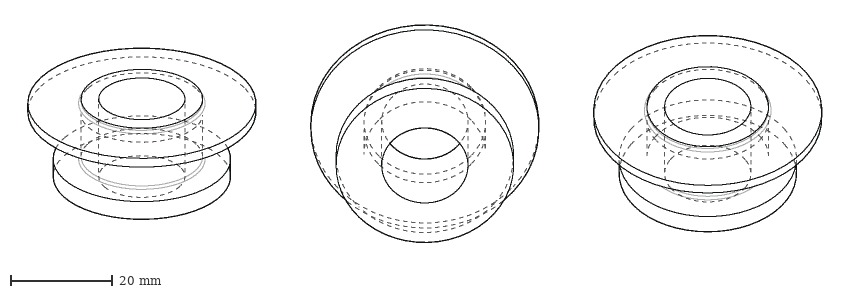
import cadquery as cq

total_height = 17.5
top_flange_diameter = 45.0
top_flange_thickness = 2.0
base_flange_diameter = 35.0
base_flange_thickness = 4.0
hub_diameter = 24.0
hub_projection = 1.0
bore_diameter = 17.0
root_fillet = 0.5

top_flange_top = total_height - hub_projection
top_flange_bottom = top_flange_top - top_flange_thickness
hub_radius = hub_diameter / 2


def disc(diameter, bottom, thickness):
    """Solid disc centred on the Z axis."""
    return cq.Workplane("XY").workplane(offset=bottom).circle(diameter / 2).extrude(thickness)


def root_edges(body, level):
    """Circle where the hub meets a flange face at the given height."""
    tolerance = 0.05
    reach = hub_radius + tolerance
    box = cq.selectors.BoxSelector(
        (-reach, -reach, level - tolerance),
        (reach, reach, level + tolerance),
        boundingbox=True,
    )
    return body.edges(box)


body = disc(hub_diameter, 0, total_height)
body = body.union(disc(base_flange_diameter, 0, base_flange_thickness))
body = body.union(disc(top_flange_diameter, top_flange_bottom, top_flange_thickness))

for level in (base_flange_thickness, top_flange_bottom, top_flange_top):
    body = root_edges(body, level).fillet(root_fillet)

result = body.cut(disc(bore_diameter, 0, total_height))